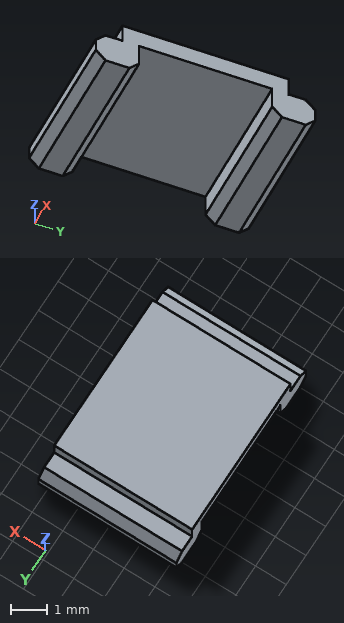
import cadquery as cq
import math

length_x = 4.5
overall_y = 6.6
overall_z = 1.6
plate_width = 4.995
gap_width = 4.0
rail_height = 0.995

corner_cut = rail_height * (1 - 1 / math.sqrt(2))

half_gap = gap_width / 2
half_overall = overall_y / 2


def make_plate():
    """Flat plate, reaching down to the top of the rails."""
    return (
        cq.Workplane("XY")
        .workplane(offset=rail_height)
        .rect(length_x, plate_width)
        .extrude(overall_z - rail_height)
    )


def make_rail(side):
    """Rail under one edge of the plate; side is +1 or -1 along Y.

    Three corners are cut; the upper inner corner stays square.
    """
    profile = [
        (half_gap, rail_height),
        (half_overall - corner_cut, rail_height),
        (half_overall, rail_height - corner_cut),
        (half_overall, corner_cut),
        (half_overall - corner_cut, 0),
        (half_gap + corner_cut, 0),
        (half_gap, corner_cut),
    ]
    return (
        cq.Workplane("YZ")
        .polyline([(side * y, z) for y, z in profile])
        .close()
        .extrude(length_x / 2, both=True)
    )


result = make_plate().union(make_rail(1)).union(make_rail(-1))